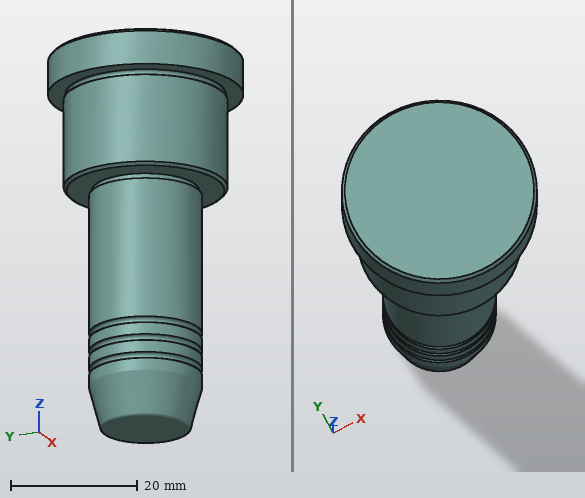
import cadquery as cq
import math

total_length = 62.0

flange_radius = 15.5
flange_height = 6.0
edge_size = 0.5

collar_radius = 13.0
collar_bottom_depth = 22.0

shaft_radius = 9.0
neck_radius = shaft_radius - edge_size
neck_height = 0.9

groove_radius = 0.5
undercut_depth = 6.45
first_ring_depth = 46.55
ring_pitch = 3.0
ring_count = 3

taper_height = 6.95
taper_angle = 15.0
tip_rounding = 0.5

flange_bottom = total_length - flange_height
collar_bottom = total_length - collar_bottom_depth
shaft_top = collar_bottom - neck_height
tip_radius = shaft_radius - taper_height * math.tan(math.radians(taper_angle))


def cylinder(radius, bottom, top):
    """Cylinder around Z between two heights."""
    return cq.Workplane("XY").workplane(offset=bottom).circle(radius).extrude(top - bottom)


def ring_groove(surface_radius, center_height):
    """Ring of round section, centered on a cylindrical surface."""
    return cq.Workplane(cq.Solid.makeTorus(surface_radius, groove_radius, cq.Vector(0, 0, center_height)))


flange = cylinder(flange_radius, flange_bottom, total_length).faces(">Z").edges().chamfer(edge_size)

collar = cylinder(collar_radius, collar_bottom, flange_bottom).faces("<Z").edges().chamfer(edge_size)
collar = collar.cut(ring_groove(collar_radius, total_length - undercut_depth))

neck = cylinder(neck_radius, shaft_top, collar_bottom)

shaft = cylinder(shaft_radius, taper_height, shaft_top)
for index in range(ring_count):
    ring_height = total_length - first_ring_depth - index * ring_pitch
    shaft = shaft.cut(ring_groove(shaft_radius, ring_height))

tip = cq.Workplane(cq.Solid.makeCone(tip_radius, shaft_radius, taper_height))
tip = tip.faces("<Z").edges().fillet(tip_rounding)

result = flange.union(collar).union(neck).union(shaft).union(tip)